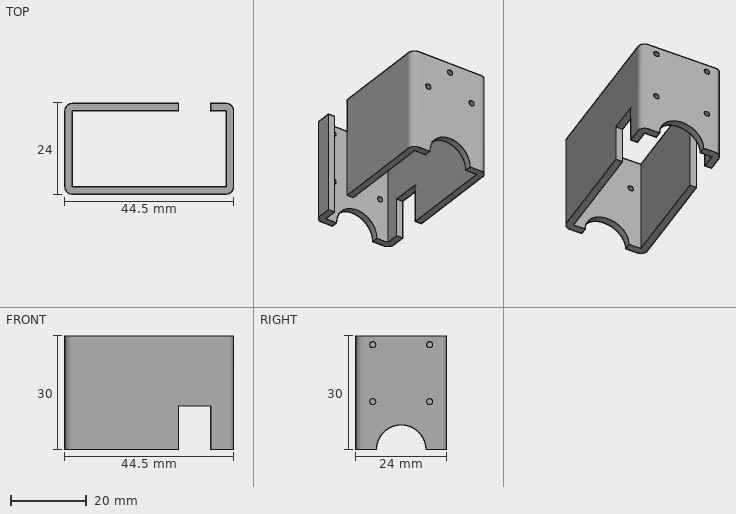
import cadquery as cq

length = 44.5
width = 24.0
height = 30.0
wall = 2.0
corner_radius = wall

opening_width = 8.45
opening_center_x = 11.95
notch_height = 11.5

arch_radius = 6.5

hole_diameter = 1.6
hole_center_z = height - 9.85
left_hole_circle_radius = 7.0
right_hole_spacing = 15.0


def sleeve():
    """Rectangular tube with rounded outer edges and sharp inner corners."""
    outer = cq.Workplane("XY").box(length, width, height, centered=(True, True, False))
    outer = outer.edges("|Z").fillet(corner_radius)
    cavity = cq.Workplane("XY").rect(length - 2 * wall, width - 2 * wall).extrude(height)
    return outer.cut(cavity)


def wall_opening(side, opening_height):
    """Cutter through the front (side = -1) or back (side = 1) wall, from the base up."""
    return (
        cq.Workplane("XY")
        .center(opening_center_x, side * (width - wall) / 2)
        .rect(opening_width, wall)
        .extrude(opening_height)
    )


def end_arches():
    """Cylinder along X that leaves a half-round arch in both end walls."""
    return cq.Workplane("YZ").circle(arch_radius).extrude(length / 2, both=True)


def left_wall_holes():
    """Holes at the left, top and right of a circle, through the -X wall."""
    r = left_hole_circle_radius
    return (
        cq.Workplane("YZ", origin=(-length / 2, 0, hole_center_z))
        .pushPoints([(-r, 0), (0, r), (r, 0)])
        .circle(hole_diameter / 2)
        .extrude(wall)
    )


def right_wall_holes():
    """Holes at the corners of a square, through the +X wall."""
    return (
        cq.Workplane("YZ", origin=(length / 2 - wall, 0, hole_center_z))
        .rarray(right_hole_spacing, right_hole_spacing, 2, 2)
        .circle(hole_diameter / 2)
        .extrude(wall)
    )


result = (
    sleeve()
    .cut(wall_opening(1, height))
    .cut(wall_opening(-1, notch_height))
    .cut(end_arches())
    .cut(left_wall_holes())
    .cut(right_wall_holes())
)